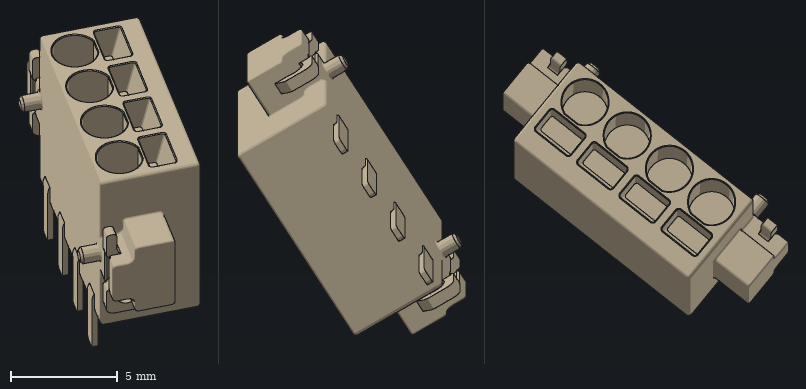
import cadquery as cq
import math


body_width = 10.66
body_depth = 4.9
body_height = 9.18
body_round = 0.2

selection_margin = 0.01

ear_span = 14.85
ear_back = 3.06
ear_middle_z = 4.57
ear_half_height = 2.05
ear_step = 1.08
neck_half_height = 1.15
neck_top = ear_middle_z + neck_half_height
neck_bottom = ear_middle_z - neck_half_height
ear_corner_radius = 0.2
ear_step_radius = 0.4
ear_end_round = 0.1
ear_root_round = 0.1

pole_count = 4
pole_pitch = 2.54
pole_places = [(i - (pole_count - 1) / 2) * pole_pitch for i in range(pole_count)]

rim_chamfer = 0.05

bore_radius = 1.08
bore_depth = 2.97
bore_middle_y = 1.34
bore_flat_offset = 1.01

pocket_width = 2.08
pocket_front = 2.54
pocket_back = 3.85
pocket_floor_back = 3.43
pocket_depth = 1.78
pocket_corner_radius = 0.13

pin_width = 0.8
pin_thickness = 0.3
pin_tip_z = -2.38
pin_top_z = 1.1
pin_bend_radius = 0.71
pin_corner_radius = 0.2
solder_plane = -0.1

peg_diameter = 0.8
peg_x = 5.08
peg_right_z = 4.57
peg_left_z = peg_right_z + 0.61
peg_reach = 1.0
peg_tip_chamfer = 0.13
peg_root_round = 0.1
peg_embed = 0.2

clip_x = 6.34
clip_width = 0.6
clip_top = 7.02
clip_bottom = 1.99
clip_web_y = 0.65
clip_lip_radius = 0.2
clip_web_top = 4.95
clip_web_bottom = 4.17
clip_tip_radius = 0.2
clip_heel_radius = 0.4
clip_elbow_radius = 0.49
clip_bottom_flat_end = 1.2
clip_inner_y = 2.08
clip_eye_y = 0.95
clip_eye_radius = 0.53
clip_eye_offset = 1.56
clip_arm_back = clip_eye_y - clip_eye_radius
slot_depth = 0.67
slot_half_height = 1.07
slot_mouth_round = 0.1


def make_body():
    """Housing block with all edges rounded."""
    box = cq.Workplane("XY").box(body_width, body_depth, body_height, centered=(True, False, False))
    return box.edges().fillet(body_round)


def make_ear_bar():
    """Stepped bar with a narrow neck that ends flush with the mounting face."""
    r = ear_corner_radius
    step = ear_step_radius
    top = ear_middle_z + ear_half_height
    bottom = ear_middle_z - ear_half_height
    section = (
        cq.Workplane("YZ", origin=(-ear_span / 2, 0, 0))
        .moveTo(ear_back - r, top)
        .lineTo(ear_step + r, top)
        .tangentArcPoint((ear_step, top - r), relative=False)
        .lineTo(ear_step, neck_top + step)
        .tangentArcPoint((ear_step - step, neck_top), relative=False)
        .lineTo(r, neck_top)
        .tangentArcPoint((0, neck_top - r), relative=False)
        .lineTo(0, neck_bottom + r)
        .tangentArcPoint((r, neck_bottom), relative=False)
        .lineTo(ear_step - step, neck_bottom)
        .tangentArcPoint((ear_step, neck_bottom - step), relative=False)
        .lineTo(ear_step, bottom + r)
        .tangentArcPoint((ear_step + r, bottom), relative=False)
        .lineTo(ear_back - r, bottom)
        .tangentArcPoint((ear_back, bottom + r), relative=False)
        .lineTo(ear_back, top - r)
        .tangentArcPoint((ear_back - r, top), relative=False)
        .close()
    )
    return section.extrude(ear_span).faces("<X or >X").edges().fillet(ear_end_round)


def make_bore(x):
    """Round bore with its back side cut off flat."""
    floor_z = body_height - bore_depth
    keep_middle_y = bore_middle_y + bore_flat_offset - bore_radius
    bore = (
        cq.Workplane("XY", origin=(x, bore_middle_y, floor_z))
        .circle(bore_radius)
        .extrude(bore_depth)
    )
    keep = (
        cq.Workplane("XY", origin=(x, keep_middle_y, floor_z))
        .rect(2 * bore_radius, 2 * bore_radius)
        .extrude(bore_depth)
    )
    return bore.intersect(keep)


def make_pocket(x):
    """Rectangular pocket that narrows towards its floor along the sloping back wall."""
    floor_z = body_height - pocket_depth
    pocket = (
        cq.Workplane("YZ", origin=(x - pocket_width / 2, 0, 0))
        .polyline([
            (pocket_front, body_height),
            (pocket_back, body_height),
            (pocket_floor_back, floor_z),
            (pocket_front, floor_z),
        ])
        .close()
        .extrude(pocket_width)
    )
    upright = pocket.faces("<Y or >Y").edges("not |X")
    return upright.fillet(pocket_corner_radius)


def make_pin(x):
    """Flat pin whose upper end bends back into the housing."""
    bulge = -solder_plane
    bend_rise = math.sqrt(pin_bend_radius**2 - (pin_bend_radius - bulge) ** 2)
    pin_back = solder_plane + pin_thickness
    pin = (
        cq.Workplane("YZ", origin=(x - pin_width / 2, 0, 0))
        .moveTo(pin_back, pin_tip_z)
        .lineTo(solder_plane, pin_tip_z)
        .lineTo(solder_plane, pin_top_z - bend_rise)
        .tangentArcPoint((0, pin_top_z), relative=False)
        .lineTo(pin_back, pin_top_z)
        .close()
        .extrude(pin_width)
    )
    return pin.faces("<Z").edges("|Y").fillet(pin_corner_radius)


def make_peg(x, z):
    """Peg with a chamfered tip and a rounded root, turned about its own axis."""
    radius = peg_diameter / 2
    root = peg_root_round
    profile = (
        cq.Workplane("XY")
        .moveTo(0, peg_embed)
        .lineTo(radius + root, peg_embed)
        .lineTo(radius + root, 0)
        .radiusArc((radius, -root), -root)
        .lineTo(radius, peg_tip_chamfer - peg_reach)
        .lineTo(radius - peg_tip_chamfer, -peg_reach)
        .lineTo(0, -peg_reach)
        .close()
    )
    return profile.revolve(360, (0, 0, 0), (0, 1, 0)).translate((x, 0, z))


def make_clip_slot(x):
    """Slot as wide as the clip, with a rounded mouth in the neck face."""
    half = clip_width / 2
    mouth = slot_mouth_round
    section = (
        cq.Workplane("XY", origin=(x, 0, ear_middle_z - slot_half_height))
        .moveTo(-half - mouth, 0)
        .radiusArc((-half, mouth), mouth)
        .lineTo(-half, slot_depth)
        .lineTo(half, slot_depth)
        .lineTo(half, mouth)
        .radiusArc((half + mouth, 0), mouth)
        .close()
    )
    return section.extrude(2 * slot_half_height)


def make_clip(x):
    """Flat C-shaped clip: an upper arm, a lower hooked arm and a web set back in the ear."""
    upper_eye_z = ear_middle_z + clip_eye_offset
    lower_eye_z = ear_middle_z - clip_eye_offset
    arm_root_z = upper_eye_z - clip_eye_radius
    tip = clip_tip_radius
    heel = clip_heel_radius
    elbow_reach = clip_elbow_radius * math.sin(math.pi / 4)
    elbow_end = (
        clip_bottom_flat_end + elbow_reach,
        clip_bottom + clip_elbow_radius - elbow_reach,
    )
    outline = (
        cq.Workplane("YZ", origin=(x - clip_width / 2, 0, 0))
        .moveTo(clip_inner_y, arm_root_z)
        .lineTo(clip_eye_y, arm_root_z)
        .tangentArcPoint((clip_arm_back, upper_eye_z), relative=False)
        .lineTo(clip_arm_back, clip_top - tip)
        .tangentArcPoint((clip_arm_back - tip, clip_top), relative=False)
        .lineTo(solder_plane + tip, clip_top)
        .tangentArcPoint((solder_plane, clip_top - tip), relative=False)
        .lineTo(solder_plane, neck_top)
        .lineTo(clip_web_y, clip_web_top)
        .lineTo(clip_web_y, clip_web_bottom)
        .lineTo(solder_plane, neck_bottom)
        .lineTo(solder_plane, clip_bottom + heel)
        .tangentArcPoint((solder_plane + heel, clip_bottom), relative=False)
        .lineTo(clip_bottom_flat_end, clip_bottom)
        .tangentArcPoint(elbow_end, relative=False)
        .lineTo(clip_inner_y, elbow_end[1] + clip_inner_y - elbow_end[0])
        .close()
    )
    eye = (
        cq.Workplane("YZ", origin=(x - clip_width / 2, 0, 0))
        .center(clip_eye_y, lower_eye_z)
        .circle(clip_eye_radius)
        .extrude(clip_width)
    )
    plate = outline.extrude(clip_width)
    lip_zone = cq.selectors.BoxSelector(
        (x - clip_width, solder_plane - selection_margin, neck_bottom - selection_margin),
        (x + clip_width, solder_plane + selection_margin, neck_top + selection_margin),
    )
    plate = plate.edges("|X").edges(lip_zone).fillet(clip_lip_radius)
    return plate.cut(eye)


def round_ear_root(solid, side):
    """Round the inner corner where one ear meets the housing end."""
    end_x = side * body_width / 2
    root = cq.selectors.BoxSelector(
        (end_x - selection_margin, -selection_margin, 0),
        (end_x + selection_margin, body_depth, body_height),
        boundingbox=True,
    )
    return solid.edges(root).fillet(ear_root_round)


def chamfer_rims(solid):
    """Chamfer the rims of all bores and pockets in the top face."""
    inner_half_width = body_width / 2 - body_round - selection_margin
    rim_zone = cq.selectors.BoxSelector(
        (-inner_half_width, body_round + selection_margin, body_height - selection_margin),
        (inner_half_width, body_depth - body_round - selection_margin, body_height + selection_margin),
    )
    inner_edges = solid.faces(">Z").edges(rim_zone)
    return inner_edges.chamfer(rim_chamfer)


housing = make_body().union(make_ear_bar())
for side in (-1, 1):
    housing = round_ear_root(housing, side)

for pole_x in pole_places:
    housing = housing.cut(make_bore(pole_x)).cut(make_pocket(pole_x))
housing = chamfer_rims(housing)

for pole_x in pole_places:
    housing = housing.union(make_pin(pole_x))

for side in (-1, 1):
    housing = housing.cut(make_clip_slot(side * clip_x))
    housing = housing.union(make_clip(side * clip_x))

housing = housing.union(make_peg(-peg_x, peg_left_z))
housing = housing.union(make_peg(peg_x, peg_right_z))

result = housing